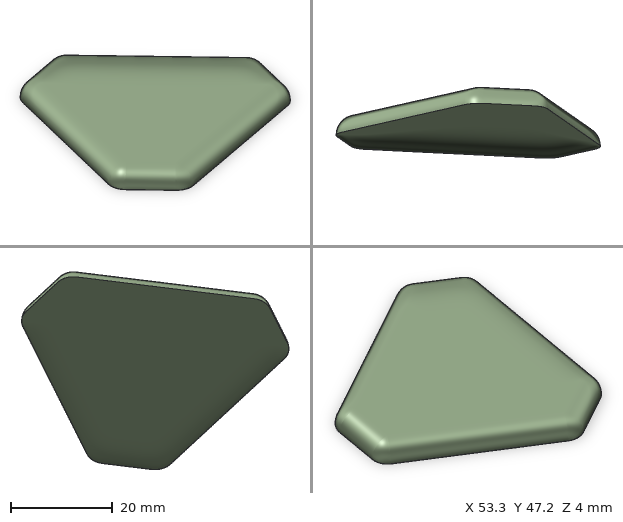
import cadquery as cq
import math

long_side = 35.45
short_side = 9.8
edge_radius = 4.0
turn_angle = 60
side_lengths = [long_side, short_side] * 3


def top_face_corners():
    """Corners of the truncated triangle, counter-clockwise, centred on the triangle's centroid."""
    x = -long_side / 2
    y = -(long_side + 2 * short_side) / (2 * math.sqrt(3))
    corners = []
    for index, length in enumerate(side_lengths):
        corners.append((x, y))
        heading = math.radians(turn_angle * index)
        x += length * math.cos(heading)
        y += length * math.sin(heading)
    return corners


def rim_profile(corner, heading):
    """Upright quarter disc at a corner, facing outward from the edge that ends there."""
    plane = cq.Plane(
        origin=(*corner, 0),
        xDir=(math.sin(heading), -math.cos(heading), 0),
        normal=(-math.cos(heading), -math.sin(heading), 0),
    )
    arc_middle = edge_radius * math.sqrt(0.5)
    return (
        cq.Workplane(plane)
        .lineTo(edge_radius, 0)
        .threePointArc((arc_middle, arc_middle), (0, edge_radius))
        .close()
    )


corners = top_face_corners()

result = cq.Workplane("XY").polyline(corners).close().extrude(edge_radius)

for index, length in enumerate(side_lengths):
    heading = math.radians(turn_angle * index)
    end_corner = corners[(index + 1) % len(corners)]
    straight_run = rim_profile(end_corner, heading).extrude(length)
    corner_wedge = rim_profile(end_corner, heading).revolve(turn_angle, (0, 0), (0, 1))
    result = result.union(straight_run).union(corner_wedge)